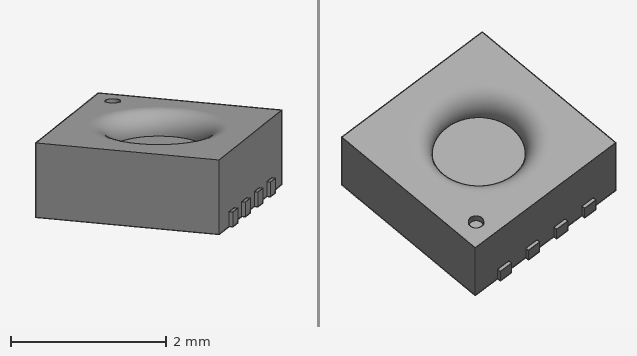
import cadquery as cq
import math

body_side = 2.5
body_height = 1.0

pad_count = 4
pad_pitch = 0.5
pad_width = 0.2
pad_height = 0.2
pad_protrusion = 0.05

opening_floor_diameter = 1.2
rim_radius = 0.3

mark_diameter = 0.2
mark_offset = 0.95
mark_depth = 0.1


def make_body():
    return cq.Workplane("XY").box(body_side, body_side, body_height, centered=(True, True, False))


def make_pads():
    """One row of bars through the body; their ends form the pads on both sides."""
    bar_length = body_side + 2 * pad_protrusion
    return (
        cq.Workplane("XY")
        .rarray(pad_pitch, pad_pitch, 1, pad_count)
        .box(bar_length, pad_width, pad_height, centered=(True, True, False))
    )


def make_opening():
    """Revolved cutter whose side is a convex quarter round flaring out to the top face."""
    floor_radius = opening_floor_diameter / 2
    top_radius = floor_radius + rim_radius
    floor_z = body_height - rim_radius
    arc_reach = rim_radius * math.sin(math.radians(45))
    return (
        cq.Workplane("XZ")
        .moveTo(0, floor_z)
        .lineTo(floor_radius, floor_z)
        .threePointArc(
            (top_radius - arc_reach, floor_z + arc_reach),
            (top_radius, body_height),
        )
        .lineTo(0, body_height)
        .close()
        .revolve(360, (0, 0, 0), (0, 1, 0))
    )


def make_mark():
    return (
        cq.Workplane("XY", origin=(-mark_offset, mark_offset, body_height - mark_depth))
        .circle(mark_diameter / 2)
        .extrude(mark_depth)
    )


result = make_body().union(make_pads()).cut(make_opening()).cut(make_mark())